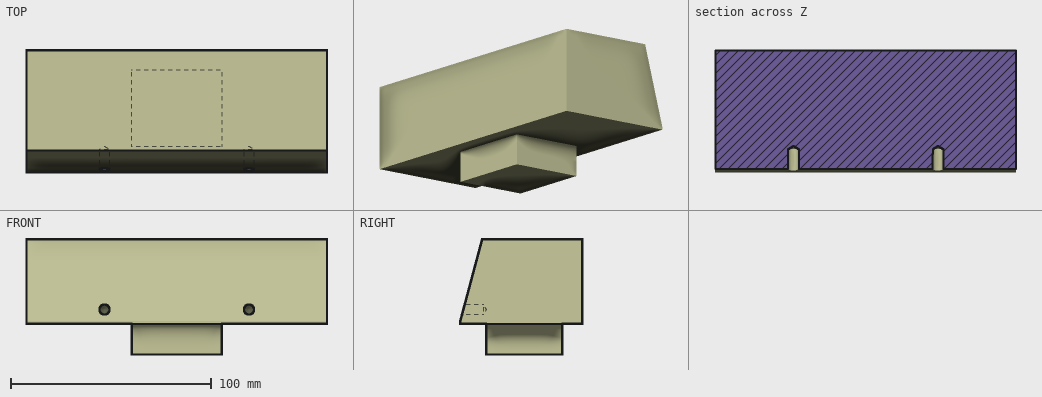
import cadquery as cq
import math

overall_height = 57.6
body_length = 149.9
body_height = 42.2
top_depth = 50.0
bottom_depth = 61.0
front_slope = math.tan(math.radians(15.0))
lip_height = body_height - (bottom_depth - top_depth) / front_slope

plug_length = 45.0
plug_depth = 38.0
plug_height = overall_height - body_height
plug_back_inset = 10.0

hole_diameter = 5.0
hole_spacing = 72.0
hole_height = 7.1
hole_straight_depth = 10.0
drill_point_angle = 118.0


def make_body():
    """Extrude the side profile along X; the back face is at Y = 0 and the underside at Z = 0."""
    return (
        cq.Workplane("YZ")
        .moveTo(0, 0)
        .lineTo(-bottom_depth, 0)
        .lineTo(-bottom_depth, lip_height)
        .lineTo(-top_depth, body_height)
        .lineTo(0, body_height)
        .close()
        .extrude(body_length / 2, both=True)
    )


def make_plug():
    """Block hanging from the underside of the body."""
    plug_center_y = -plug_back_inset - plug_depth / 2
    return (
        cq.Workplane("XY")
        .center(0, plug_center_y)
        .rect(plug_length, plug_depth)
        .extrude(-plug_height)
    )


def make_hole(x):
    """Cutter for one hole: a cylinder with a conical tip, revolved about an axis along Y."""
    radius = hole_diameter / 2
    mouth_y = -bottom_depth + (hole_height - lip_height) * front_slope
    straight_end_y = mouth_y + hole_straight_depth
    tip_length = radius / math.tan(math.radians(drill_point_angle / 2))
    return (
        cq.Workplane("XY", origin=(x, 0, hole_height))
        .moveTo(0, -bottom_depth)
        .lineTo(radius, -bottom_depth)
        .lineTo(radius, straight_end_y)
        .lineTo(0, straight_end_y + tip_length)
        .close()
        .revolve(360, (0, 0, 0), (0, 1, 0))
    )


result = make_body().union(make_plug())
for side in (-1, 1):
    result = result.cut(make_hole(side * hole_spacing / 2))